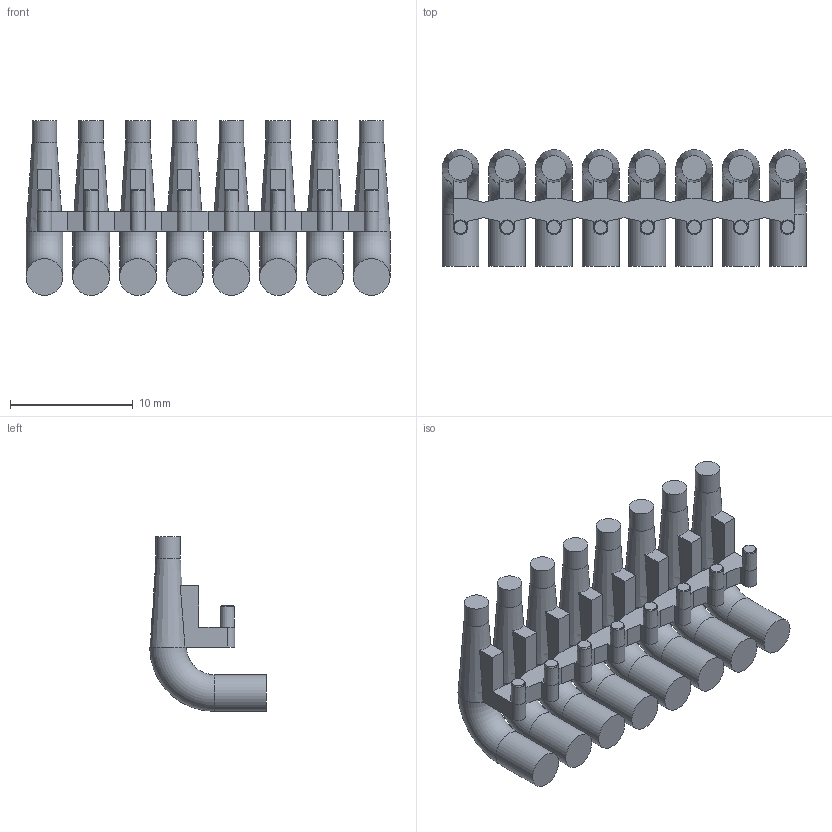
import cadquery as cq

pipe_count = 8
pitch = 3.81
row_half_length = (pipe_count - 1) * pitch / 2
pipe_xs = [i * pitch - row_half_length for i in range(pipe_count)]

pipe_radius = 1.5
bend_radius = 3.75
level_leg_length = 4.25
taper_height = 7.25
tip_height = 1.75
tip_radius = 1.0

bracket_bottom_z = bend_radius
bar_thickness = 1.6
bar_top_z = bracket_bottom_z + bar_thickness
post_width = 1.2
post_front_y = -2.5
post_height = 5.0
pin_base_radius = post_width / 2
pin_shoulder_radius = 0.57
pin_end_radius = 0.52
pin_height = 1.8
pin_bevel_height = 0.1
pin_y = -4.83
bar_center_y = -3.42
bar_half_width_at_post = post_front_y - bar_center_y
bar_half_width_at_neck = 0.63


def elbow_pipe(x):
    """Solid pipe whose upright axis is at (x, 0) and whose level axis is at Z = 0."""
    level_leg = (
        cq.Workplane("XZ", origin=(x, -bend_radius, 0))
        .circle(pipe_radius)
        .extrude(level_leg_length)
    )
    bend = (
        cq.Workplane("XY", origin=(x, 0, bend_radius))
        .circle(pipe_radius)
        .revolve(90, (1, -bend_radius), (-1, -bend_radius))
    )
    taper = (
        cq.Workplane("XY", origin=(x, 0, bend_radius))
        .circle(pipe_radius)
        .workplane(offset=taper_height)
        .circle(tip_radius)
        .loft()
    )
    tip = (
        cq.Workplane("XY", origin=(x, 0, bend_radius + taper_height))
        .circle(tip_radius)
        .extrude(tip_height)
    )
    return level_leg.union(bend).union(taper).union(tip)


def block(x, front_y, height):
    """Post-wide block from the upright axis forward to front_y, standing on the bracket bottom."""
    return (
        cq.Workplane("XY", origin=(x, front_y / 2, bracket_bottom_z))
        .rect(post_width, -front_y)
        .extrude(height)
    )


def pin(x):
    """Round boss through the bar thickness, then a drafted pin with a beveled end."""
    shoulder_z = bar_top_z + pin_height - pin_bevel_height
    half_profile = [
        (0, bracket_bottom_z),
        (pin_base_radius, bracket_bottom_z),
        (pin_base_radius, bar_top_z),
        (pin_shoulder_radius, shoulder_z),
        (pin_end_radius, bar_top_z + pin_height),
        (0, bar_top_z + pin_height),
    ]
    return (
        cq.Workplane("XZ", origin=(x, pin_y, 0))
        .polyline(half_profile)
        .close()
        .revolve(360, (0, 0), (0, 1))
    )


def bar_link(x):
    """Bar stretch between the pipe at x and the next one, pinched midway."""
    rear_edge = [
        (x + post_width / 2, bar_half_width_at_post),
        (x + pitch / 2, bar_half_width_at_neck),
        (x + pitch - post_width / 2, bar_half_width_at_post),
    ]
    front_edge = [(px, -py) for px, py in reversed(rear_edge)]
    return (
        cq.Workplane("XY", origin=(0, bar_center_y, bracket_bottom_z))
        .polyline(rear_edge + front_edge)
        .close()
        .extrude(bar_thickness)
    )


result = elbow_pipe(pipe_xs[0])
for x in pipe_xs[1:]:
    result = result.union(elbow_pipe(x))
for x in pipe_xs:
    result = result.union(block(x, post_front_y, post_height))
    result = result.union(block(x, pin_y, bar_thickness))
    result = result.union(pin(x))
for x in pipe_xs[:-1]:
    result = result.union(bar_link(x))